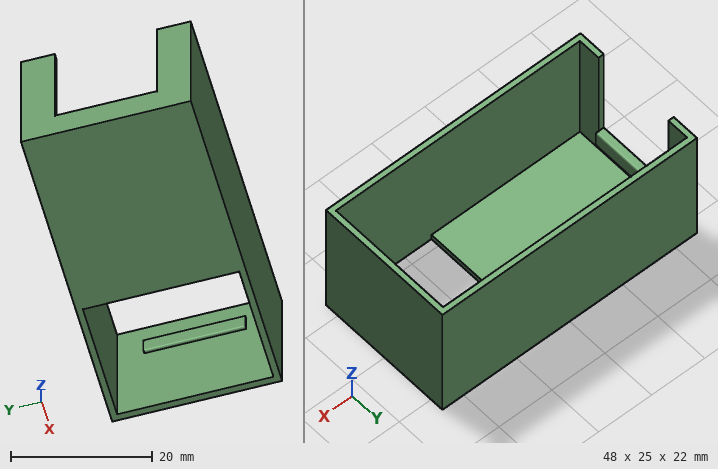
import cadquery as cq

length = 48.0
width = 25.0
height = 22.0
wall = 1.0

floor_thickness = 1.0
floor_end = 29.0

notch_width = 15.0
notch_bottom = 5.0

rib_height = 3.0
rib_projection = 0.5
rib_edge_radius = 0.3
far_rib_bottom = 15.0
near_rib_bottom = notch_bottom - rib_height


def make_shell():
    """Four walls, open at the top and bottom."""
    outer = cq.Workplane("XY").rect(length, width).extrude(height)
    inner = cq.Workplane("XY").rect(length - 2 * wall, width - 2 * wall).extrude(height)
    return outer.cut(inner).translate((length / 2, 0, 0))


def make_floor():
    """Plate from the notched end to the opening in the bottom."""
    return cq.Workplane("XY").box(
        floor_end, width, floor_thickness, centered=(False, True, False)
    )


def make_notch():
    """Cutter for the notch that opens upwards through the end wall at x = 0."""
    return (
        cq.Workplane("XY")
        .box(wall, notch_width, height - notch_bottom, centered=(False, True, False))
        .translate((0, 0, notch_bottom))
    )


def make_rib(wall_face, inward, bottom):
    """Rib along Y, with its two long free edges rounded, on the inner wall face at x = wall_face.

    inward is +1 or -1, the X direction from the wall into the box.
    """
    crest = wall_face + inward * rib_projection
    free_edges = "|Y and " + (">X" if inward > 0 else "<X")
    return (
        cq.Workplane("XZ")
        .moveTo(wall_face, bottom)
        .lineTo(crest, bottom)
        .lineTo(crest, bottom + rib_height)
        .lineTo(wall_face, bottom + rib_height)
        .close()
        .extrude(notch_width / 2, both=True)
        .edges(free_edges)
        .fillet(rib_edge_radius)
    )


near_rib = make_rib(wall, 1, near_rib_bottom)
far_rib = make_rib(length - wall, -1, far_rib_bottom)

result = (
    make_shell()
    .union(make_floor())
    .cut(make_notch())
    .union(near_rib)
    .union(far_rib)
)